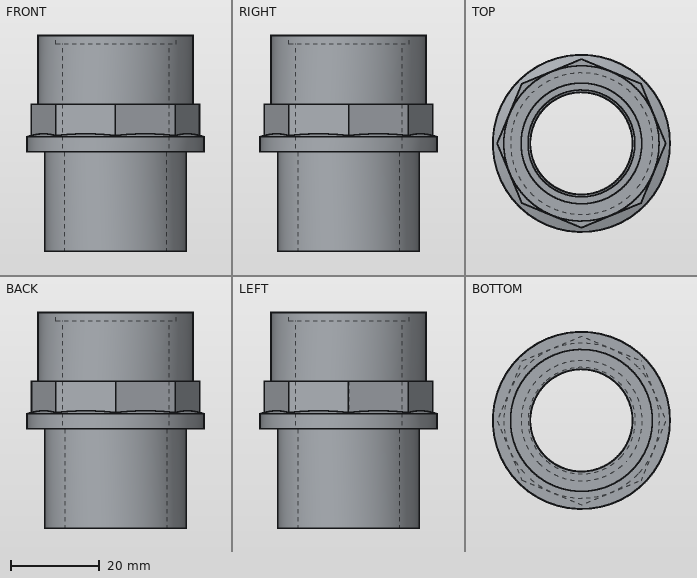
import cadquery as cq
import math

total_height = 48.7
spigot_height = 22.45
flange_thickness = 3.4
octagon_top = 33.2

spigot_diameter = 32.0
flange_diameter = 40.0
octagon_corners = 38.0
octagon_sides = 8
socket_diameter = 35.0
flange_slope = 15.0

through_diameter = 23.0
bore_diameter = 24.1
recess_diameter = 27.2
recess_depth = 1.85


def cylinder(diameter, bottom, top):
    """Upright cylinder on the Z axis between two heights."""
    return cq.Workplane("XY").workplane(offset=bottom).circle(diameter / 2).extrude(top - bottom)


def flange():
    """Round flange whose upper face rises as a cone towards the socket."""
    rim_radius = flange_diameter / 2
    inner_radius = socket_diameter / 2
    rim_top = spigot_height + flange_thickness
    cone_top = rim_top + (rim_radius - inner_radius) * math.tan(math.radians(flange_slope))
    profile = [
        (0, spigot_height),
        (rim_radius, spigot_height),
        (rim_radius, rim_top),
        (inner_radius, cone_top),
        (0, cone_top),
    ]
    return cq.Workplane("XZ").polyline(profile).close().revolve(360, (0, 0, 0), (0, 1, 0))


def wrench_octagon():
    """Octagonal prism with corners on the X and Y axes."""
    return (
        cq.Workplane("XY")
        .workplane(offset=spigot_height)
        .polygon(octagon_sides, octagon_corners)
        .extrude(octagon_top - spigot_height)
    )


body = cylinder(spigot_diameter, 0, total_height)
body = body.union(flange())
body = body.union(wrench_octagon())
body = body.union(cylinder(socket_diameter, spigot_height, total_height))

body = body.cut(cylinder(through_diameter, 0, total_height))
body = body.cut(cylinder(bore_diameter, spigot_height, total_height))
body = body.cut(cylinder(recess_diameter, total_height - recess_depth, total_height))

result = body